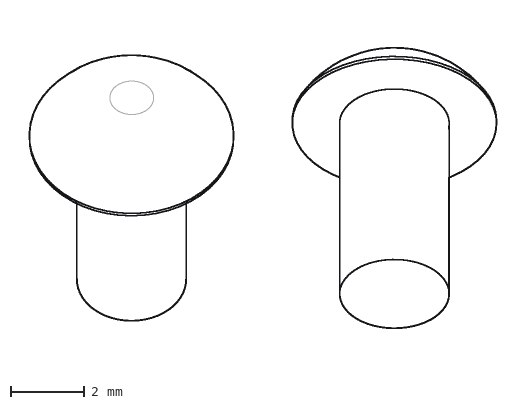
import cadquery as cq
import math

total_height = 7.7
shank_diameter = 3.0
shank_length = 6.0
head_diameter = 5.6
rim_height = 0.1
top_flat_diameter = 1.2

shank_radius = shank_diameter / 2
head_radius = head_diameter / 2
flat_radius = top_flat_diameter / 2
rim_top = shank_length + rim_height

dome_rise = total_height - rim_top
center_to_rim_top = (head_radius**2 - flat_radius**2 - dome_rise**2) / (2 * dome_rise)
sphere_radius = math.hypot(head_radius, center_to_rim_top)
sphere_center_height = rim_top - center_to_rim_top

dome_mid_radius = (head_radius + flat_radius) / 2
dome_mid_height = sphere_center_height + math.sqrt(sphere_radius**2 - dome_mid_radius**2)

profile = (
    cq.Workplane("XZ")
    .moveTo(0, 0)
    .lineTo(shank_radius, 0)
    .lineTo(shank_radius, shank_length)
    .lineTo(head_radius, shank_length)
    .lineTo(head_radius, rim_top)
    .threePointArc((dome_mid_radius, dome_mid_height), (flat_radius, total_height))
    .lineTo(0, total_height)
    .close()
)

result = profile.revolve(360, (0, 0, 0), (0, 1, 0))